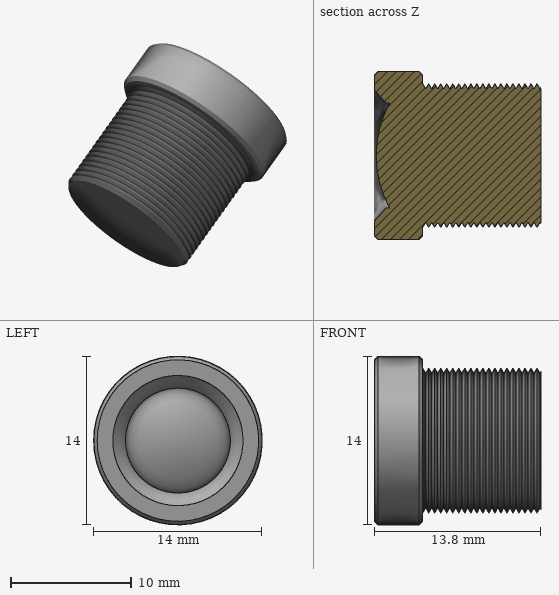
import cadquery as cq
import math

total_length = 13.85
head_radius = 7.0
head_length = 4.0
head_chamfer = 0.3

crest_radius = 6.0
root_radius = 5.57
full_crests = 19
last_crest_x = 13.5
thread_pitch = (last_crest_x - head_length) / full_crests

recess_mouth_radius = 5.4
lens_radius = 4.35
cone_depth = 0.94
lens_wall_length = 0.3
lens_bulge = 1.1


def threaded_barrel():
    """Barrel with sharp ring-shaped ridges, the first one cut in half by the head's rear face."""
    half_pitch = thread_pitch / 2
    flank_slope = (crest_radius - root_radius) / half_pitch
    last_root = last_crest_x + half_pitch
    end_radius = root_radius + flank_slope * (total_length - last_root)

    profile = (
        cq.Workplane("XY")
        .moveTo(0, 0)
        .lineTo(0, root_radius)
        .lineTo(head_length, root_radius)
        .lineTo(head_length, crest_radius)
    )
    for ridge in range(full_crests):
        root_x = head_length + ridge * thread_pitch + half_pitch
        profile = profile.lineTo(root_x, root_radius)
        profile = profile.lineTo(root_x + half_pitch, crest_radius)
    profile = profile.lineTo(last_root, root_radius).lineTo(total_length, end_radius)
    profile = profile.lineTo(total_length, 0).close()
    return profile.revolve(360, (0, 0, 0), (1, 0, 0))


def head():
    """Wide front ring with both outer edges chamfered."""
    return cq.Workplane("YZ").circle(head_radius).extrude(head_length).edges().chamfer(head_chamfer)


def front_recess():
    """Conical mouth and short straight wall, ending on the convex front of the lens."""
    lens_rim_depth = cone_depth + lens_wall_length
    lens_apex_depth = lens_rim_depth - lens_bulge

    sphere_radius = (lens_radius**2 + lens_bulge**2) / (2 * lens_bulge)
    mid_radius = lens_radius / 2
    mid_depth = lens_apex_depth + sphere_radius - math.sqrt(sphere_radius**2 - mid_radius**2)

    profile = (
        cq.Workplane("XY")
        .moveTo(0, 0)
        .lineTo(0, recess_mouth_radius)
        .lineTo(cone_depth, lens_radius)
        .lineTo(lens_rim_depth, lens_radius)
        .threePointArc((mid_depth, mid_radius), (lens_apex_depth, 0))
        .close()
    )
    return profile.revolve(360, (0, 0, 0), (1, 0, 0))


result = threaded_barrel().union(head()).cut(front_recess())